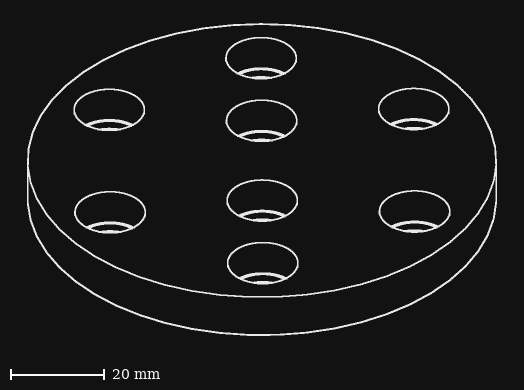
import cadquery as cq

disc_diameter = 99.8
disc_thickness = 10.0

bore_diameter = 15.0
lip_diameter = 14.0
lip_thickness = 2.0
bore_depth = disc_thickness - lip_thickness

outer_hole_count = 6
outer_circle_radius = 37.4
inner_hole_count = 2
inner_circle_radius = 14.6
inner_start_angle = 120.0


def cut_stepped_holes(body, circle_radius, start_angle, count):
    """Cut evenly spaced stepped through holes on a circle about the Z axis."""
    return (
        body.faces(">Z")
        .workplane(origin=(0, 0, disc_thickness))
        .polarArray(circle_radius, start_angle, 360, count)
        .cboreHole(lip_diameter, bore_diameter, bore_depth)
    )


disc = cq.Workplane("XY").circle(disc_diameter / 2).extrude(disc_thickness)
disc = cut_stepped_holes(disc, outer_circle_radius, 0, outer_hole_count)
disc = cut_stepped_holes(disc, inner_circle_radius, inner_start_angle, inner_hole_count)

result = disc